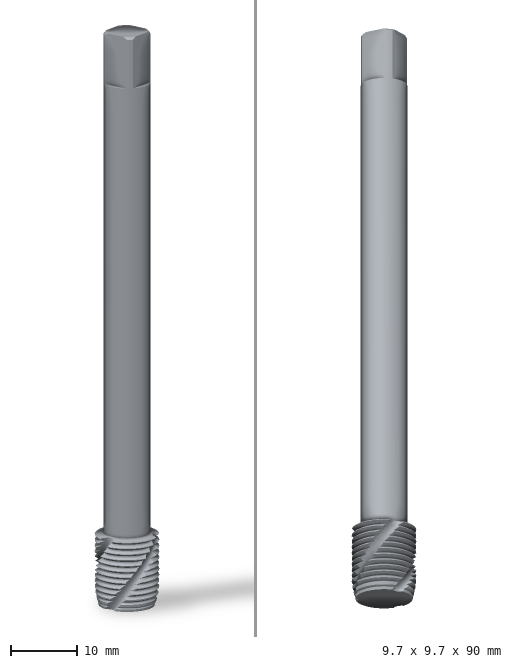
import cadquery as cq
import math

total_length = 90.0

shank_diameter = 7.0
square_across_flats = 5.6
square_length = 8.0
end_chamfer = 0.4

head_length = 11.3
thread_diameter = 9.7
thread_flank_angle = 30.0
crest_width = 0.1
top_crest_height = 11.0
bottom_crest_height = 1.0
groove_count = 12
lead_length = 2.3
lead_end_diameter = 8.6

flute_count = 3
flute_radius = 1.3
flute_center_radius = 5.1
flute_twist = 120.0
flute_top_angle = -90.0

shank_radius = shank_diameter / 2
thread_radius = thread_diameter / 2
thread_pitch = (top_crest_height - bottom_crest_height) / (groove_count - 1)
groove_half_mouth = (thread_pitch - crest_width) / 2
root_radius = thread_radius - groove_half_mouth / math.tan(math.radians(thread_flank_angle))


def make_shank():
    """Round shank standing on the head, with four flats milled at its upper end."""
    flats = (
        cq.Workplane("XY", origin=(0, 0, total_length - square_length))
        .rect(thread_diameter, thread_diameter)
        .rect(square_across_flats, square_across_flats)
        .extrude(square_length)
    )
    shank = (
        cq.Workplane("XY", origin=(0, 0, head_length))
        .circle(shank_radius)
        .extrude(total_length - head_length)
        .faces(">Z")
        .chamfer(end_chamfer)
    )
    return shank.cut(flats)


def make_head_blank():
    """Plain head with a shallow cone on top and a tapered lead at the bottom."""
    return (
        cq.Workplane("XZ")
        .lineTo(lead_end_diameter / 2, 0)
        .lineTo(thread_radius, lead_length)
        .lineTo(thread_radius, top_crest_height + crest_width / 2)
        .lineTo(shank_radius, head_length)
        .lineTo(0, head_length)
        .close()
        .revolve()
    )


def make_groove(root_height):
    """V-shaped ring groove centred on the given height."""
    return (
        cq.Workplane("XZ")
        .moveTo(root_radius, root_height)
        .lineTo(thread_radius, root_height - groove_half_mouth)
        .lineTo(thread_radius, root_height + groove_half_mouth)
        .close()
        .revolve(360, (0, 0), (0, 1))
    )


def make_flute_cutter(top_angle):
    """Twisted round bar that reaches its given angle at the top of the head."""
    bar = (
        cq.Workplane("XY")
        .transformed(rotate=(0, 0, top_angle - flute_twist))
        .moveTo(flute_center_radius, 0)
        .circle(flute_radius)
    )
    return bar.twistExtrude(head_length, flute_twist)


def make_head():
    """Grooved and fluted head."""
    head = make_head_blank()
    for groove in range(groove_count):
        head = head.cut(make_groove(top_crest_height - (groove + 0.5) * thread_pitch))
    for flute in range(flute_count):
        head = head.cut(make_flute_cutter(flute_top_angle + flute * 360 / flute_count))
    return head


shank = make_shank()
head = make_head()
result = cq.Compound.makeCompound([shank.val(), head.val()])